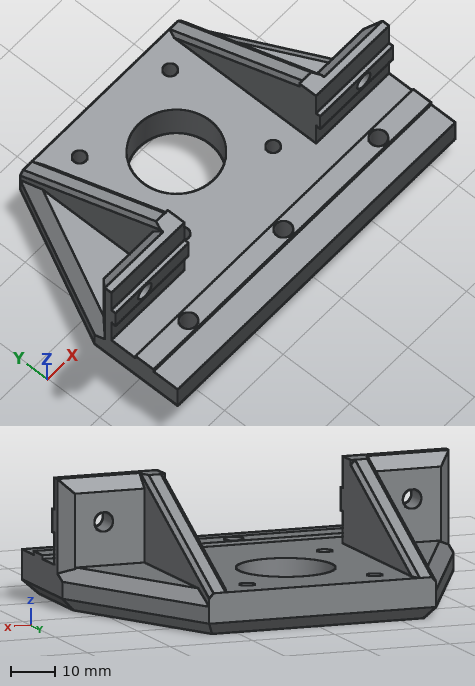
import cadquery as cq

width = 95.0
depth = 65.0
height = 30.0
plate_thickness = 10.0
edge_chamfer = 3.0
half_width = width / 2

wall_front = 19.95
wall_thickness = 5.0
wall_back = wall_front + wall_thickness
wall_inner = 22.5
rib_thickness = 5.0
rib_outer = wall_inner + rib_thickness
rib_chamfer = 1.0
upright_bottom = plate_thickness - edge_chamfer

rail_width = 5.4
rail_height = 0.9
rail_y = 10.0
wall_rail_height = 1.2
wall_rail_z = (plate_thickness + height) / 2

screw_diameter = 4.5
plate_screw_spacing = 32.5
wall_screw_x = 37.4
motor_y = 42.2
motor_bore = 22.5
motor_screw_diameter = 3.5
motor_screw_spacing = 31.0


def block(x_range, y_range, z_range):
    """Box between the given limits on each axis."""
    sizes = [high - low for low, high in (x_range, y_range, z_range)]
    corner = (x_range[0], y_range[0], z_range[0])
    return cq.Workplane("XY").box(*sizes, centered=False).translate(corner)


def make_plate():
    """Plate with a chamfered underside and chamfered upper edges along the taper."""
    outline = [
        (-half_width, 0),
        (half_width, 0),
        (half_width, wall_back),
        (rib_outer, depth),
        (-rib_outer, depth),
        (-half_width, wall_back),
    ]
    plate = cq.Workplane("XY").polyline(outline).close().extrude(plate_thickness)
    plate = plate.faces("<Z").chamfer(edge_chamfer)

    taper_slope = (half_width - rib_outer) / (depth - wall_back)
    front_half_width = half_width + taper_slope * wall_back
    taper_outline = [
        (-front_half_width, 0),
        (front_half_width, 0),
        (rib_outer, depth),
        (-rib_outer, depth),
    ]
    taper = cq.Workplane("XY").polyline(taper_outline).close().extrude(plate_thickness)
    taper = taper.faces(">Z").edges("<X or >X").chamfer(edge_chamfer)

    front_strip = block(
        (-half_width, half_width), (0, wall_front), (upright_bottom, plate_thickness)
    )
    return plate.intersect(taper).union(front_strip)


def make_wall():
    """Right-hand wall, chamfered along the top and outer edges of its back face."""
    wall = block((wall_inner, half_width), (wall_front, wall_back), (upright_bottom, height))
    return wall.faces(">Y").edges(">Z or >X").chamfer(edge_chamfer)


def make_rib():
    """Right-hand rib, whose sloping top is chamfered on both sides."""
    slope = (height - plate_thickness) / (depth - wall_back)
    peak = height + slope * wall_thickness
    profile = [
        (wall_front, upright_bottom),
        (depth, upright_bottom),
        (depth, plate_thickness),
        (wall_front, peak),
    ]
    rib = cq.Workplane("YZ").workplane(offset=wall_inner).polyline(profile).close()
    rib = rib.extrude(rib_thickness)
    rib = rib.faces(">Z").edges("<X or >X").chamfer(rib_chamfer)
    rib = rib.intersect(block((0, half_width), (0, depth), (0, height)))

    corner = block(
        (wall_inner, rib_outer - rib_chamfer), (wall_front, wall_back), (upright_bottom, height)
    )
    return rib.union(corner)


def make_wall_rail():
    """Rail across the front of the right-hand wall."""
    return block(
        (wall_inner, half_width),
        (wall_front - wall_rail_height, wall_front),
        (wall_rail_z - rail_width / 2, wall_rail_z + rail_width / 2),
    )


def make_plate_rail():
    """Rail across the full width of the plate."""
    return block(
        (-half_width, half_width),
        (rail_y - rail_width / 2, rail_y + rail_width / 2),
        (plate_thickness, plate_thickness + rail_height),
    )


def vertical_holes():
    """Cutters for the motor bore, its four screws and the row of rail screws."""
    motor = cq.Workplane("XY").center(0, motor_y)
    bore = motor.circle(motor_bore / 2).extrude(height)
    motor_screws = motor.rect(motor_screw_spacing, motor_screw_spacing, forConstruction=True)
    motor_screws = motor_screws.vertices().circle(motor_screw_diameter / 2).extrude(height)
    rail_screws = cq.Workplane("XY").center(0, rail_y).rarray(plate_screw_spacing, 0.95, 3, 1)
    rail_screws = rail_screws.circle(screw_diameter / 2).extrude(height)
    return bore.union(motor_screws).union(rail_screws)


def wall_holes():
    """Cutters for the screw hole through each wall."""
    centers = [(side * wall_screw_x, wall_rail_z) for side in (-1, 1)]
    holes = cq.Workplane("XZ").pushPoints(centers)
    return holes.circle(screw_diameter / 2).extrude(-depth)


upright = make_wall().union(make_rib()).union(make_wall_rail())
result = make_plate().union(make_plate_rail())
result = result.union(upright).union(upright.mirror("YZ"))
result = result.cut(vertical_holes()).cut(wall_holes())